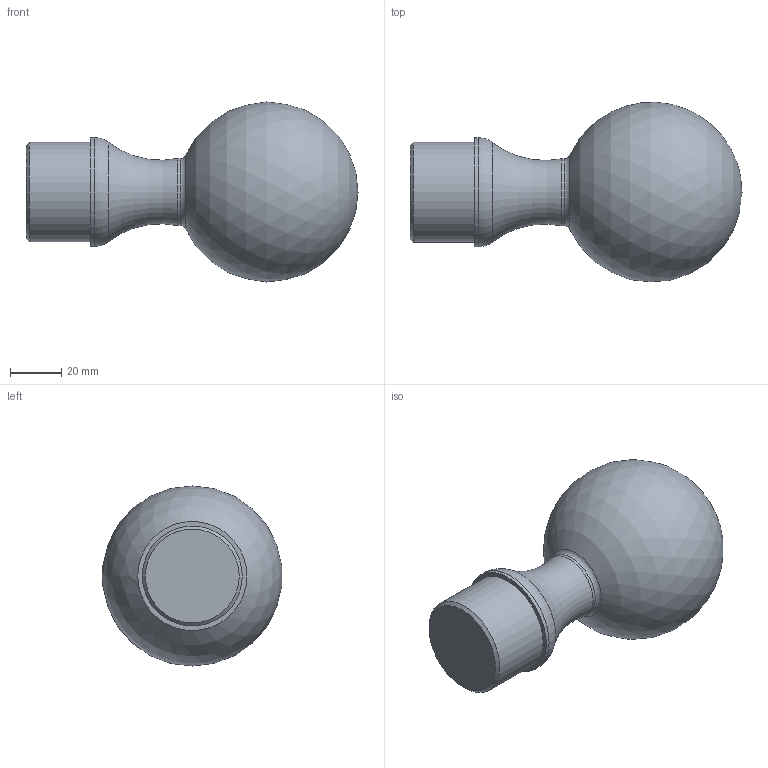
import cadquery as cq
import math

overall_length = 129.0
ball_diameter = 70.0

spigot_diameter = 38.84
spigot_length = 25.0
spigot_chamfer = 1.2

collar_diameter = 42.4
collar_land_length = 1.5
collar_round_radius = 9.0
collar_round_length = 5.5

neck_diameter = 26.0
neck_land_start = 58.85
ball_fillet_radius = 2.25

spigot_radius = spigot_diameter / 2
collar_radius = collar_diameter / 2
neck_radius = neck_diameter / 2
ball_radius = ball_diameter / 2
ball_center_x = overall_length - ball_radius


def circle_point(center, radius, angle):
    """Point at the given angle (radians) on a circle in the profile plane."""
    return (center[0] + radius * math.cos(angle), center[1] + radius * math.sin(angle))


def turned_profile():
    """Closed half section, with X along the axis and Y as the radius."""
    collar_land_end = spigot_length + collar_land_length

    collar_round_center = (collar_land_end, collar_radius - collar_round_radius)
    collar_end_angle = math.acos(collar_round_length / collar_round_radius)
    collar_mid_angle = (math.pi / 2 + collar_end_angle) / 2
    collar_round_mid = circle_point(collar_round_center, collar_round_radius, collar_mid_angle)
    collar_round_end = circle_point(collar_round_center, collar_round_radius, collar_end_angle)

    fillet_center_y = neck_radius + ball_fillet_radius
    center_distance = ball_radius + ball_fillet_radius
    fillet_offset_x = math.sqrt(center_distance**2 - fillet_center_y**2)
    fillet_start_x = ball_center_x - fillet_offset_x
    fillet_end_angle = math.atan2(fillet_center_y, -fillet_offset_x)
    ball_center = (ball_center_x, 0)
    fillet_end = circle_point(ball_center, ball_radius, fillet_end_angle)
    ball_top = (ball_center_x, ball_radius)

    return (
        cq.Workplane("XY")
        .moveTo(0, 0)
        .lineTo(0, spigot_radius - spigot_chamfer)
        .lineTo(spigot_chamfer, spigot_radius)
        .lineTo(spigot_length, spigot_radius)
        .lineTo(spigot_length, collar_radius)
        .lineTo(collar_land_end, collar_radius)
        .threePointArc(collar_round_mid, collar_round_end)
        .tangentArcPoint((neck_land_start, neck_radius), relative=False)
        .lineTo(fillet_start_x, neck_radius)
        .tangentArcPoint(fillet_end, relative=False)
        .threePointArc(ball_top, (overall_length, 0))
        .close()
    )


result = turned_profile().revolve(360, (0, 0, 0), (1, 0, 0))